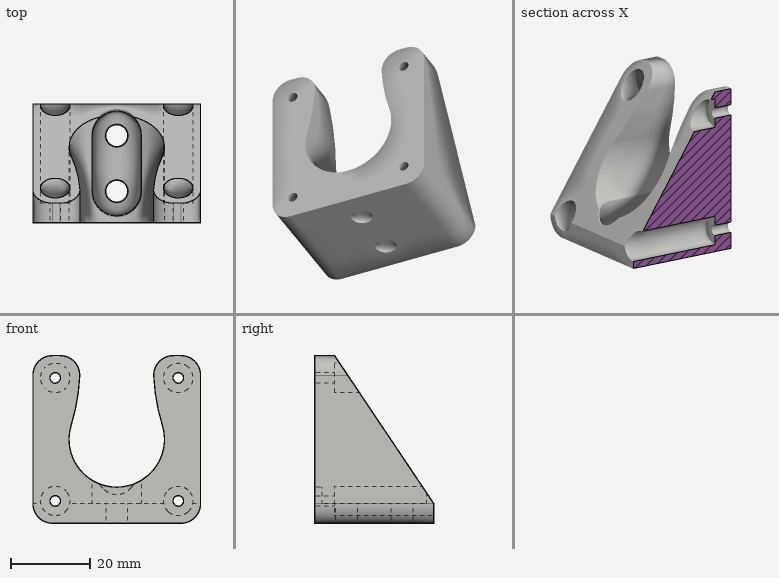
import cadquery as cq
import math

side = 42.3
depth = 30.0
half = side / 2

corner_radius = 5.0
bore_radius = 12.0
throat_radius = 50.0
throat_center_z = 18.3

arm_thickness = 5.0
base_height = 5.0

mount_pitch = 31.0
mount_hole_diameter = 2.6
head_hole_diameter = 7.4
head_seat_y = arm_thickness

floor_thickness = 5.0
slot_width = 12.4
bolt_hole_diameter = 5.5
bolt_positions_y = (8.0, 22.0)
pocket_rounding = 0.2
slot_length = bolt_positions_y[1] - bolt_positions_y[0] + slot_width
slot_middle_y = sum(bolt_positions_y) / 2
floor_z = floor_thickness - half


def profile():
    """Face outline: rounded square with a keyhole-like opening at the top."""
    diagonal = corner_radius * math.cos(math.radians(45))
    corner_center = half - corner_radius
    corner_mid = corner_center + diagonal

    throat_reach = bore_radius + throat_radius
    throat_center_x = math.sqrt(throat_reach**2 - throat_center_z**2)
    rise = throat_center_z - corner_center
    wrap_radius = throat_radius - corner_radius
    wrap_x = math.sqrt(wrap_radius**2 - rise**2)
    arm_round_x = throat_center_x - wrap_x
    blend_x = throat_center_x - wrap_x * throat_radius / wrap_radius
    blend_z = throat_center_z - rise * throat_radius / wrap_radius
    touch_ratio = bore_radius / throat_reach
    touch_x = throat_center_x * touch_ratio
    touch_z = throat_center_z * touch_ratio
    blend_angle = math.atan2(rise, wrap_x)
    touch_angle = math.atan2(throat_center_z, throat_center_x)
    middle_angle = (blend_angle + touch_angle) / 2
    throat_mid_x = throat_center_x - throat_radius * math.cos(middle_angle)
    throat_mid_z = throat_center_z - throat_radius * math.sin(middle_angle)

    return (
        cq.Workplane("XZ")
        .moveTo(-corner_center, -half)
        .lineTo(corner_center, -half)
        .threePointArc((corner_mid, -corner_mid), (half, -corner_center))
        .lineTo(half, corner_center)
        .threePointArc((corner_mid, corner_mid), (corner_center, half))
        .lineTo(arm_round_x, half)
        .threePointArc((arm_round_x - diagonal, corner_mid), (blend_x, blend_z))
        .threePointArc((throat_mid_x, throat_mid_z), (touch_x, touch_z))
        .threePointArc((0, -bore_radius), (-touch_x, touch_z))
        .threePointArc((-throat_mid_x, throat_mid_z), (-blend_x, blend_z))
        .threePointArc((-arm_round_x + diagonal, corner_mid), (-arm_round_x, half))
        .lineTo(-corner_center, half)
        .threePointArc((-corner_mid, corner_mid), (-half, corner_center))
        .lineTo(-half, -corner_center)
        .threePointArc((-corner_mid, -corner_mid), (-corner_center, -half))
        .close()
    )


def body():
    """Extruded outline trimmed by the sloped back face."""
    side_shape = (
        cq.Workplane("YZ")
        .moveTo(0, -half)
        .lineTo(depth, -half)
        .lineTo(depth, base_height - half)
        .lineTo(arm_thickness, half)
        .lineTo(0, half)
        .close()
        .extrude(half, both=True)
    )
    return profile().extrude(-depth).intersect(side_shape)


def mount_holes():
    """Screw holes through the face with clearance for the heads from behind."""
    screws = (
        cq.Workplane("XZ")
        .rect(mount_pitch, mount_pitch, forConstruction=True)
        .vertices()
        .circle(mount_hole_diameter / 2)
        .extrude(-depth)
    )
    heads = (
        cq.Workplane("XZ", origin=(0, head_seat_y, 0))
        .rect(mount_pitch, mount_pitch, forConstruction=True)
        .vertices()
        .circle(head_hole_diameter / 2)
        .extrude(-depth)
    )
    return screws.union(heads)


def base_pocket():
    """Slot for the bolt heads, open upwards, with a hole down through its floor for each bolt."""
    slot = (
        cq.Workplane("XY", origin=(0, slot_middle_y, floor_z))
        .slot2D(slot_length, slot_width, 90)
        .extrude(-floor_z)
    )
    bolts = (
        cq.Workplane("XY", origin=(0, 0, -half))
        .pushPoints([(0, y) for y in bolt_positions_y])
        .circle(bolt_hole_diameter / 2)
        .extrude(floor_thickness)
    )
    return slot.union(bolts)


def round_pocket(part):
    """Round the pocket's upper rim, its floor edge and the upper rims of the bolt holes."""
    margin = pocket_rounding / 2
    reach_x = slot_width / 2 + margin
    reach_y = slot_length / 2 + margin
    around_pocket = cq.selectors.BoxSelector(
        (-reach_x, slot_middle_y - reach_y, floor_z - margin),
        (reach_x, slot_middle_y + reach_y, 0),
        boundingbox=True,
    )
    return part.edges(around_pocket).edges("not |Z").fillet(pocket_rounding)


result = round_pocket(body().cut(mount_holes()).cut(base_pocket()))